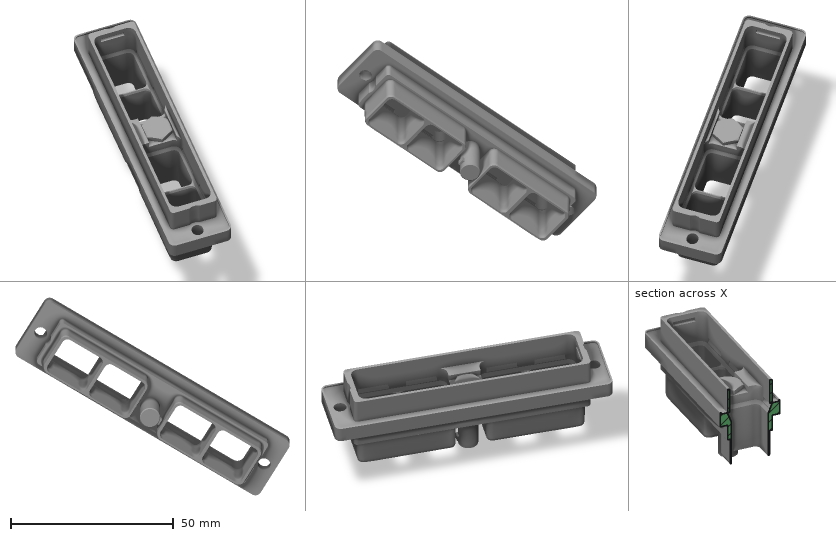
import cadquery as cq
import math

SHELL_LENGTH = 74.9
SHELL_WIDTH = 15.2
SHELL_TOP = 12.75
SHELL_BOTTOM = -5.2
SHELL_CORNER = 1.1

FLANGE_LENGTH = 87.9
FLANGE_WIDTH = 20.3
FLANGE_THICKNESS = 5.1
FLANGE_CORNER = 1.9
RIM_WIDTH = 0.5
RIM_HEIGHT = 0.5
HOLE_SPACING = 80.3
HOLE_LENGTH = 3.95
HOLE_WIDTH = 3.6
GROOVE_RADIUS = 3.2

CAVITY_LENGTH = 71.0
CAVITY_WIDTH = 13.45
CAVITY_CORNER = 2.4
FUNNEL_TOP = 2.3
FUNNEL_HEIGHT = 1.2
WINDOW_LENGTH = 14.15
WINDOW_WIDTH = 12.2
WINDOW_CORNER = 1.8
WEB_CHAMFER_INSET = 0.35
WEB_CHAMFER_DROP = 0.7
WEB_THICKNESS = 1.05
WINDOW_INNER_END = 5.6

CUP_INNER_END = 4.8
CUP_OUTER_END = 36.1
CUP_WIDTH = 13.5
CUP_BOTTOM = -13.9
CUP_CORNER = 1.9
CUP_END_DRAFT = 0.2
CUP_CHAMFER_HEIGHT = 0.8
CUP_CHAMFER_INSET = 0.2

BLOCK_LENGTH = 10.1
BLOCK_TOP = 7.4
HEAD_SEAT = 5.4
HEAD_SEAT_WIDTH = 8.9

PIN_Y = 1.5
PIN_DIAMETER = 6.2
PIN_BOTTOM = -17.6
PIN_CHAMFER = 0.3
HEAD_ACROSS_FLATS = 8.35
HEAD_TOP = 7.0
HEAD_CHAMFER_DROP = 0.3
PEG_SIZE = 1.9
PEG_REACH = 3.8
PEG_Z = -14.6

LATCH_LENGTH = 9.75
LATCH_BOTTOM = 2.55
LATCH_TOP = 4.4
LATCH_DEPTH = 0.7
LATCH_RISE = 1.7

END_SLOT_WIDTH = 7.7
END_SLOT_BOTTOM = 9.4
END_SLOT_TOP = 10.9
END_SLOT_DEPTH = 1.05

SIDES = (-1, 1)
WEB_TOP = FUNNEL_TOP - FUNNEL_HEIGHT
INNER_WINDOW_X = WINDOW_INNER_END + WINDOW_LENGTH / 2
OUTER_WINDOW_X = INNER_WINDOW_X + WINDOW_LENGTH + WEB_THICKNESS
WINDOW_OUTER_END = OUTER_WINDOW_X + WINDOW_LENGTH / 2


def rounded_block(length, width, bottom, top, corner, x=0):
    """Upright block centred on y = 0 with rounded vertical edges."""
    block = cq.Workplane("XY").box(length, width, top - bottom, centered=(True, True, False))
    return block.edges("|Z").fillet(corner).translate((x, 0, bottom))


def tapered_block(lower, upper, bottom, top):
    """Block lofted between two rounded outlines, each given as (inner x, outer x, width, corner)."""

    def outline(start, end, width, corner):
        shape = cq.Sketch().rect(abs(end - start), width).vertices().fillet(corner)
        return shape.moved(cq.Location(cq.Vector((start + end) / 2, 0, 0)))

    lower_outline = outline(*lower)
    upper_outline = outline(*upper).moved(cq.Location(cq.Vector(0, 0, top - bottom)))
    return cq.Workplane("XY", origin=(0, 0, bottom)).placeSketch(lower_outline, upper_outline).loft()


def make_flange():
    flange = rounded_block(FLANGE_LENGTH, FLANGE_WIDTH, 0, FLANGE_THICKNESS, FLANGE_CORNER)
    recess = rounded_block(
        FLANGE_LENGTH - 2 * RIM_WIDTH,
        FLANGE_WIDTH - 2 * RIM_WIDTH,
        FLANGE_THICKNESS - RIM_HEIGHT,
        FLANGE_THICKNESS,
        FLANGE_CORNER - RIM_WIDTH,
    )
    holes = (
        cq.Workplane("XY")
        .rarray(HOLE_SPACING, 0.9, 2, 1)
        .slot2D(HOLE_LENGTH, HOLE_WIDTH)
        .extrude(FLANGE_THICKNESS)
    )
    return flange.cut(recess).cut(holes)


def make_shell():
    """Outer shell, still solid, with a clearance groove beside each flange hole."""
    shell = rounded_block(SHELL_LENGTH, SHELL_WIDTH, SHELL_BOTTOM, SHELL_TOP, SHELL_CORNER)
    grooves = (
        cq.Workplane("XY", origin=(0, 0, SHELL_BOTTOM))
        .rarray(HOLE_SPACING, 0.9, 2, 1)
        .circle(GROOVE_RADIUS)
        .extrude(SHELL_TOP - SHELL_BOTTOM)
    )
    return shell.cut(grooves)


def make_cup(side):
    """Cup with a drafted outer end and a narrow chamfer around its bottom edge."""
    inner_end = side * CUP_INNER_END
    lower = (inner_end, side * (CUP_OUTER_END - CUP_END_DRAFT), CUP_WIDTH, CUP_CORNER)
    upper = (inner_end, side * CUP_OUTER_END, CUP_WIDTH, CUP_CORNER)
    cup = tapered_block(lower, upper, CUP_BOTTOM, SHELL_BOTTOM)
    return cup.faces("<Z").chamfer(CUP_CHAMFER_HEIGHT, CUP_CHAMFER_INSET)


def make_window(x, toward_web):
    """Through window whose edge beside the web is chamfered."""
    shaft = rounded_block(WINDOW_LENGTH, WINDOW_WIDTH, CUP_BOTTOM, WEB_TOP, WINDOW_CORNER, x)
    far_end = x - toward_web * WINDOW_LENGTH / 2
    web_face = x + toward_web * WINDOW_LENGTH / 2
    lower = (far_end, web_face, WINDOW_WIDTH, WINDOW_CORNER)
    upper = (far_end, web_face + toward_web * WEB_CHAMFER_INSET, WINDOW_WIDTH, WINDOW_CORNER)
    return shaft.union(tapered_block(lower, upper, WEB_TOP - WEB_CHAMFER_DROP, WEB_TOP))


def make_half_cavity(side):
    """Lower cavity on one side of the central block: pocket, funnel and two windows."""
    block_end = side * BLOCK_LENGTH / 2
    outer_end = side * CAVITY_LENGTH / 2
    half = rounded_block(
        abs(outer_end - block_end),
        CAVITY_WIDTH,
        FUNNEL_TOP,
        BLOCK_TOP,
        CAVITY_CORNER,
        (block_end + outer_end) / 2,
    )
    lower = (side * WINDOW_INNER_END, side * WINDOW_OUTER_END, WINDOW_WIDTH, WINDOW_CORNER)
    upper = (block_end, outer_end, CAVITY_WIDTH, CAVITY_CORNER)
    funnel = tapered_block(lower, upper, WEB_TOP, FUNNEL_TOP)
    inner_window = make_window(side * INNER_WINDOW_X, side)
    outer_window = make_window(side * OUTER_WINDOW_X, -side)
    return half.union(funnel).union(inner_window).union(outer_window)


def make_cavity():
    """Open top cavity that divides around the central block."""
    cavity = rounded_block(CAVITY_LENGTH, CAVITY_WIDTH, BLOCK_TOP, SHELL_TOP, CAVITY_CORNER)
    for side in SIDES:
        cavity = cavity.union(make_half_cavity(side))
    return cavity


def make_head_pocket():
    """Channel across the central block, including its flared corners, that seats the pin head."""
    length = BLOCK_LENGTH + 2 * CAVITY_CORNER
    return cq.Workplane("XY", origin=(0, PIN_Y, HEAD_SEAT)).box(
        length, HEAD_SEAT_WIDTH, BLOCK_TOP - HEAD_SEAT, centered=(True, True, False)
    )


def make_latch_recess(x, side):
    wall = CAVITY_WIDTH / 2
    profile = [
        (wall, LATCH_BOTTOM),
        (wall + LATCH_DEPTH, LATCH_BOTTOM + LATCH_RISE),
        (wall + LATCH_DEPTH, LATCH_TOP),
        (wall - LATCH_DEPTH, LATCH_TOP),
        (wall - LATCH_DEPTH, LATCH_BOTTOM),
    ]
    points = [(side * y, z) for y, z in profile]
    return cq.Workplane("YZ", origin=(x, 0, 0)).polyline(points).close().extrude(LATCH_LENGTH / 2, both=True)


def make_end_slots():
    """One bar whose ends reach into both end walls."""
    length = CAVITY_LENGTH + 2 * END_SLOT_DEPTH
    return cq.Workplane("XY", origin=(0, 0, END_SLOT_BOTTOM)).box(
        length, END_SLOT_WIDTH, END_SLOT_TOP - END_SLOT_BOTTOM, centered=(True, True, False)
    )


def make_pin():
    shank = (
        cq.Workplane("XY", origin=(0, PIN_Y, PIN_BOTTOM))
        .circle(PIN_DIAMETER / 2)
        .extrude(HEAD_SEAT - PIN_BOTTOM)
        .faces("<Z")
        .chamfer(PIN_CHAMFER)
    )
    corner_diameter = HEAD_ACROSS_FLATS / math.cos(math.pi / 6)
    head = (
        cq.Workplane("XY", origin=(0, PIN_Y, HEAD_SEAT))
        .polygon(6, corner_diameter)
        .extrude(HEAD_TOP - HEAD_SEAT)
    )
    corner_trim = (
        cq.Workplane("XY", origin=(0, PIN_Y, HEAD_SEAT))
        .circle(corner_diameter / 2)
        .extrude(HEAD_TOP - HEAD_SEAT)
        .faces(">Z")
        .chamfer(HEAD_CHAMFER_DROP, (corner_diameter - HEAD_ACROSS_FLATS) / 2)
    )
    peg = cq.Workplane("YZ", origin=(0, PIN_Y, PEG_Z)).rect(PEG_SIZE, PEG_SIZE).extrude(PEG_REACH)
    return shank.union(head.intersect(corner_trim)).union(peg)


result = make_flange().union(make_shell())
for side in SIDES:
    result = result.union(make_cup(side))
result = result.cut(make_cavity()).cut(make_head_pocket()).cut(make_end_slots())
for x in (-OUTER_WINDOW_X, -INNER_WINDOW_X, INNER_WINDOW_X, OUTER_WINDOW_X):
    for side in SIDES:
        result = result.cut(make_latch_recess(x, side))
result = result.union(make_pin())